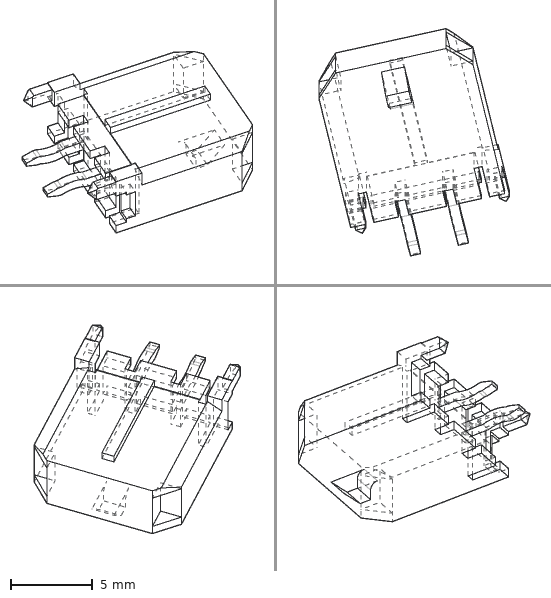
import cadquery as cq


overall_length = 13.08

body_width = 9.65
body_length = 9.9
body_height = 3.85
half_width = body_width / 2
corner_chamfer = 1.37
wall = 0.65
side_top = body_height - wall

bevel_width = 0.95
bevel_drop = 0.5

ear_width = bevel_width
ear_top = 4.35
slot_width = 0.5
slot_depth = 2.0
step_depth = 1.75
step_drop = 0.07
rear_recess_depth = 0.7
rear_recess_bottom = 0.63
rear_recess_top = 3.14

pocket_depth = 0.6
pocket_width = 0.76
pocket_bottom = 0.92
pocket_top = 2.94

rib_width = 0.78
rib_front = 8.52

pin_pitch = 3.0
pin_width = 0.64
pin_thickness = 0.65
pin_axis_height = 1.88
pin_notch_depth = 1.0
pin_bend_start = -0.54
pin_bend_end = -2.22
pin_bend_height = 0.16
pin_taper_start = -2.46
pin_tip = body_length - overall_length
pin_tip_thickness = 0.25

peg_width = 0.64
peg_bottom = 3.39
peg_top = 4.3
peg_top_shoulder = -1.22
peg_shoulder = -1.33
peg_tip = -1.78

hook_width = 1.45
hook_depth = 1.22
hook_toe = body_length - 0.58
hook_nose = body_length - 1.75
hook_heel = body_length - 2.51
hook_fillet = 0.5


def box(x_range, y_range, z_range):
    """Box between the given limits along each axis."""
    low, high = zip(x_range, y_range, z_range)
    size = [b - a for a, b in zip(low, high)]
    return cq.Workplane("XY").box(*size, centered=False).translate(low)


def centred(middle, width):
    """Limits of a span of the given width about its middle."""
    return (middle - width / 2, middle + width / 2)


def side_span(side, inner, outer):
    """X limits between two distances from the mid plane, on the side -1 or +1."""
    return tuple(sorted((side * inner, side * outer)))


def make_body():
    """Block with chamfered front corners and bevelled upper side edges."""
    body = box((-half_width, half_width), (0, body_length), (0, body_height))
    body = body.edges("|Z and >Y").chamfer(corner_chamfer)
    for side in (-1, 1):
        bevel = (
            cq.Workplane("XZ")
            .moveTo(side * half_width, body_height)
            .lineTo(side * (half_width - bevel_width), body_height)
            .lineTo(side * half_width, body_height - bevel_drop)
            .close()
            .extrude(-body_length)
        )
        body = body.cut(bevel)
        corner_notch = box(
            side_span(side, half_width - corner_chamfer, half_width),
            (body_length - corner_chamfer, body_length),
            (wall, side_top),
        )
        body = body.cut(corner_notch)
    return body


def shape_rear(body):
    """Rear step, ears, side slots, the recess between the flanges and the side pocket."""
    slot_outer = half_width - ear_width
    slot_inner = slot_outer - slot_width
    body = body.cut(
        box((-slot_outer, slot_outer), (0, step_depth), (body_height - step_drop, body_height))
    )
    for side in (-1, 1):
        ear = box(side_span(side, slot_outer, half_width), (0, step_depth), (0, ear_top))
        slot = box(side_span(side, slot_inner, slot_outer), (0, slot_depth), (0, body_height))
        body = body.union(ear).cut(slot)
    recess = box(
        (-half_width, half_width),
        (0, rear_recess_depth),
        (rear_recess_bottom, rear_recess_top),
    )
    pocket = box(
        (half_width - pocket_width, half_width),
        (rear_recess_depth, rear_recess_depth + pocket_depth),
        (pocket_bottom, pocket_top),
    )
    return body.cut(recess).cut(pocket)


def make_pin(x, bend):
    """Contact pin with an arched stretch, bent up (+1) or down (-1), and a tapered tip."""
    top = pin_axis_height + pin_thickness / 2
    bottom = pin_axis_height - pin_thickness / 2
    rise = bend * pin_bend_height
    bend_middle = (pin_bend_start + pin_bend_end) / 2
    return (
        cq.Workplane("YZ", origin=(x - pin_width / 2, 0, 0))
        .moveTo(pin_notch_depth, top)
        .lineTo(pin_bend_start, top)
        .threePointArc((bend_middle, top + rise), (pin_bend_end, top))
        .lineTo(pin_taper_start, top)
        .lineTo(pin_tip, pin_axis_height + pin_tip_thickness / 2)
        .lineTo(pin_tip, pin_axis_height - pin_tip_thickness / 2)
        .lineTo(pin_taper_start, bottom)
        .lineTo(pin_bend_end, bottom)
        .threePointArc((bend_middle, bottom + rise), (pin_bend_start, bottom))
        .lineTo(pin_notch_depth, bottom)
        .close()
        .extrude(pin_width)
    )


def make_peg(side):
    """Rectangular locating peg whose four end faces meet in a point."""
    inner, outer = side_span(side, half_width - peg_width, half_width)
    plan = (
        cq.Workplane("XY", origin=(0, 0, peg_bottom))
        .moveTo(inner, 0)
        .lineTo(inner, peg_shoulder)
        .lineTo((inner + outer) / 2, peg_tip)
        .lineTo(outer, peg_shoulder)
        .lineTo(outer, 0)
        .close()
        .extrude(peg_top - peg_bottom)
    )
    profile = (
        cq.Workplane("YZ", origin=(inner, 0, 0))
        .moveTo(0, peg_bottom)
        .lineTo(peg_shoulder, peg_bottom)
        .lineTo(peg_tip, (peg_bottom + peg_top) / 2)
        .lineTo(peg_top_shoulder, peg_top)
        .lineTo(0, peg_top)
        .close()
        .extrude(peg_width)
    )
    return plan.intersect(profile)


def make_hook():
    """Latch hook with a sloping front and a concave fillet behind it."""
    return (
        cq.Workplane("YZ", origin=(-hook_width / 2, 0, 0))
        .moveTo(hook_toe, 0)
        .lineTo(hook_nose, -hook_depth)
        .lineTo(hook_heel, -hook_depth)
        .lineTo(hook_heel, -hook_fillet)
        .radiusArc((hook_heel - hook_fillet, 0), -hook_fillet)
        .close()
        .extrude(hook_width)
    )


result = shape_rear(make_body())
result = result.union(
    box(centred(0, rib_width), (step_depth, rib_front), (body_height - step_drop, ear_top))
)
result = result.union(make_hook())

for side in (-1, 1):
    pin_x = side * pin_pitch / 2
    pin_notch = box(centred(pin_x, pin_width), (0, pin_notch_depth), (0, body_height))
    result = result.cut(pin_notch).union(make_pin(pin_x, side))
    result = result.union(make_peg(side))